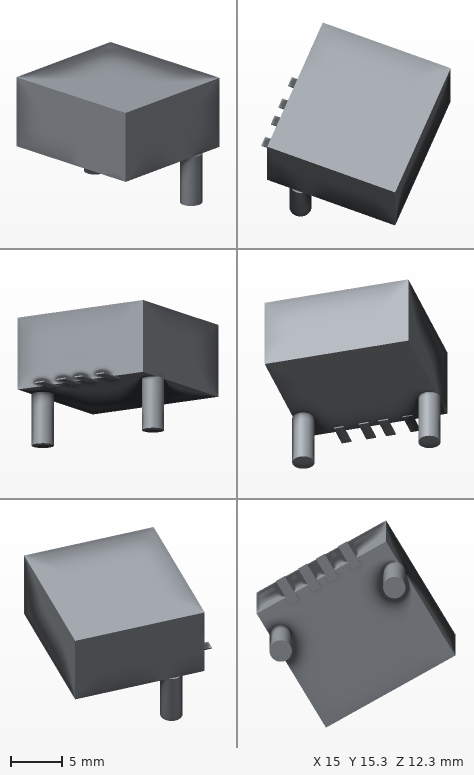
import cadquery as cq

housing_width = 14.58
housing_depth = 13.42
housing_height = 7.17

peg_diameter = 2.18
peg_length = 5.13
peg_span = 14.98
peg_x = (peg_span - peg_diameter) / 2

total_depth = 15.35
contact_width = 1.0
contact_length = 2.73
contact_thickness = 0.12
inner_contact_x = 1.0
outer_contact_x = 3.5
contact_positions = (-outer_contact_x, -inner_contact_x, inner_contact_x, outer_contact_x)

peg_y = 10.28
contact_front_y = total_depth - contact_length


def make_housing():
    """Plain rectangular block resting on Z = 0."""
    return cq.Workplane("XY").box(
        housing_width, housing_depth, housing_height, centered=(True, False, False)
    )


def make_peg(x):
    """Cylinder hanging from the plane of the housing's underside."""
    return cq.Workplane("XY").center(x, peg_y).circle(peg_diameter / 2).extrude(-peg_length)


def make_contact(x):
    """Thin strip running in Y, its upper face in the plane of the housing's underside."""
    return (
        cq.Workplane("XY")
        .center(x, contact_front_y + contact_length / 2)
        .rect(contact_width, contact_length)
        .extrude(-contact_thickness)
    )


housing = make_housing()
pegs = [make_peg(x) for x in (-peg_x, peg_x)]
contacts = [make_contact(x) for x in contact_positions]

result = cq.Compound.makeCompound(
    [housing.val(), *[peg.val() for peg in pegs], *[contact.val() for contact in contacts]]
)